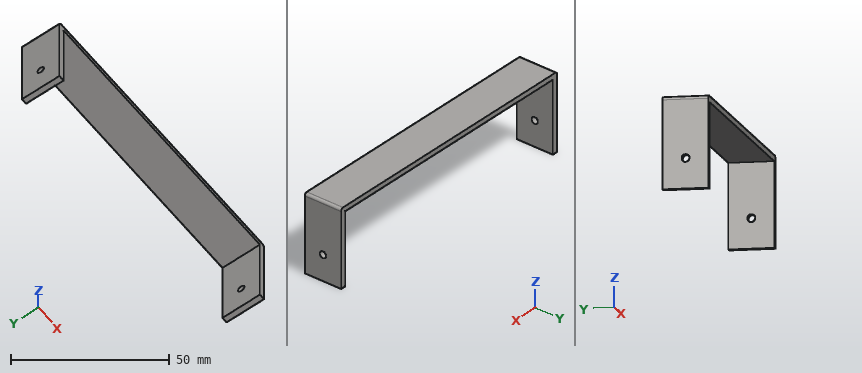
import cadquery as cq

length = 107.4
width = 14.85
height = 29.8
bridge_thickness = 2.0
leg_thickness = 2.2
corner_radius = 1.0
hole_diameter = 2.5
hole_height = 9.8

leg_height = height - bridge_thickness
leg_offset = (length - leg_thickness) / 2


def make_bridge():
    """Flat strip across the top, with its two upper end edges rounded."""
    strip = cq.Workplane("XY").box(length, width, bridge_thickness, centered=(True, True, False))
    strip = strip.edges("|Y and >Z").fillet(corner_radius)
    return strip.translate((0, 0, leg_height))


def make_leg(center_x):
    """Upright strip under one end of the bridge, with a through hole along X."""
    leg = cq.Workplane("XY").box(leg_thickness, width, leg_height, centered=(True, True, False))
    hole = (
        cq.Workplane("YZ")
        .center(0, hole_height)
        .circle(hole_diameter / 2)
        .extrude(leg_thickness, both=True)
    )
    return leg.cut(hole).translate((center_x, 0, 0))


result = make_bridge()
for side in (-1, 1):
    result = result.union(make_leg(side * leg_offset))